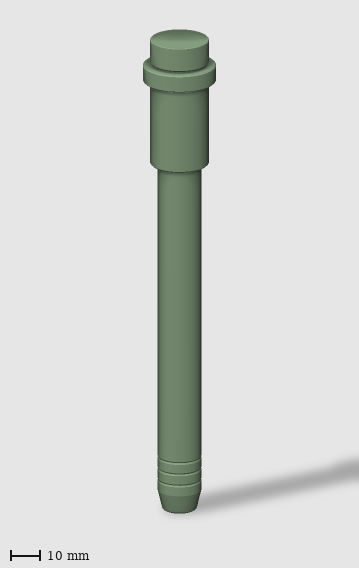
import cadquery as cq

length = 170.0
flange_radius = 25.0 / 2
shank_radius = 20.0 / 2
pin_radius = 15.0 / 2

flange_top = length - 9.0
flange_bottom = flange_top - 6.0
shank_bottom = 125.0

edge_chamfer = 0.5
flange_chamfer = 0.3
top_chamfer = 0.2
relief_depth = 0.5
relief_height = 1.0
neck_height = 1.0

taper_height = 7.0
tip_radius = 6.0
tip_chamfer = 0.5

groove_count = 3
lowest_groove = 10.7
groove_pitch = 4.0
groove_width = 1.0
groove_depth = 0.3


def cylinder(radius, bottom, top):
    return cq.Workplane("XY").workplane(offset=bottom).circle(radius).extrude(top - bottom)


def revolved(profile):
    """Closed (radius, height) outline turned around the Z axis."""
    return cq.Workplane("XZ").polyline(profile).close().revolve(360, (0, 0), (0, 1))


def v_groove(radius, center):
    """V-shaped ring groove cut into a cylinder of the given radius."""
    profile = [
        (radius, center - groove_width / 2),
        (radius - groove_depth, center),
        (radius, center + groove_width / 2),
    ]
    return revolved(profile)


def flange_relief(flange_face, outer_end):
    """Ring with a flat floor beside the flange that slopes out to the shank surface."""
    profile = [
        (shank_radius - relief_depth, flange_face),
        (shank_radius - relief_depth, (flange_face + outer_end) / 2),
        (shank_radius, outer_end),
        (shank_radius, flange_face),
    ]
    return revolved(profile)


def neck_relief(wide_end, narrow_end):
    """Ring with full depth at one end, running out to the pin surface at the other."""
    profile = [
        (pin_radius - relief_depth, wide_end),
        (pin_radius, narrow_end),
        (pin_radius, wide_end),
    ]
    return revolved(profile)


def make_pin():
    """Long guide pin with its conical lead-in and chamfered tip."""
    profile = [
        (0, 0),
        (tip_radius - tip_chamfer, 0),
        (tip_radius, tip_chamfer),
        (pin_radius, taper_height),
        (pin_radius, shank_bottom),
        (0, shank_bottom),
    ]
    return revolved(profile)


shank = cylinder(shank_radius, shank_bottom, length)
shank = shank.faces("<Z").chamfer(edge_chamfer).faces(">Z").chamfer(top_chamfer)

shank = shank.cut(flange_relief(flange_top, flange_top + relief_height))
shank = shank.cut(flange_relief(flange_bottom, flange_bottom - relief_height))

flange = cylinder(flange_radius, flange_bottom, flange_top).edges().chamfer(flange_chamfer)

pin = make_pin().cut(neck_relief(shank_bottom, shank_bottom - neck_height))
for index in range(groove_count):
    center = lowest_groove + index * groove_pitch
    pin = pin.cut(v_groove(pin_radius, center))

result = pin.union(shank).union(flange)